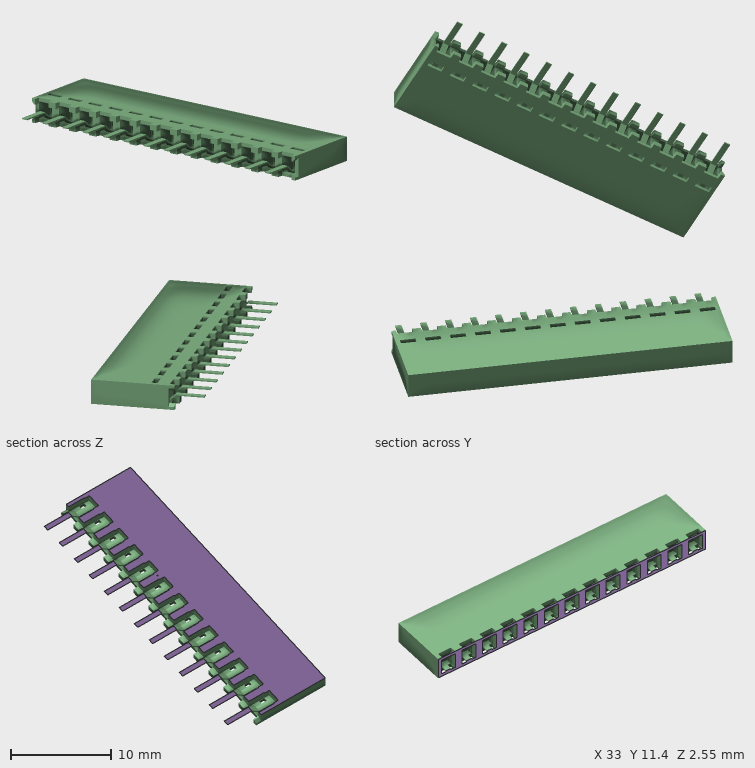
import cadquery as cq
import math

length = 33.02
height = 2.55
body_depth = 7.95
mid_height = height / 2

pin_count = 13
pitch = length / pin_count
pin_positions = [(i - (pin_count - 1) / 2) * pitch for i in range(pin_count)]

window_front = 1.3
window_size = 0.6
window_width = 1.6
window_back = window_front + window_size

pocket_width = 1.65
pocket_wall = 0.4
recess_width = 1.5
recess_wall = 0.5
recess_depth = 0.6
recess_back = window_back + recess_depth

tooth_length = 0.6
tooth_height = 0.6
notch_base_width = window_width
notch_tip_width = 1.7
end_bevel = 0.3

pin_width = 0.63
pin_thickness = 0.13
pin_reach = 3.45
pin_bend = -0.53
pin_rise = mid_height - pin_thickness / 2 - pocket_wall
pin_slope = math.radians(40)


def box(x, y_range, z_range, width):
    """Block centred on x that fills the given y and z ranges."""
    depth = y_range[1] - y_range[0]
    rise = z_range[1] - z_range[0]
    return cq.Workplane("XY").box(width, depth, rise, centered=(True, False, False)).translate(
        (x, y_range[0], z_range[0])
    )


def tooth_strip():
    """Lower lip across the full length, with the inner edge bevelled at both ends."""
    half = length / 2
    return (
        cq.Workplane("XZ")
        .moveTo(-half, 0)
        .lineTo(half, 0)
        .lineTo(half, tooth_height - end_bevel)
        .lineTo(half - end_bevel, tooth_height)
        .lineTo(-half + end_bevel, tooth_height)
        .lineTo(-half, tooth_height - end_bevel)
        .close()
        .extrude(tooth_length)
    )


def notch(x):
    """Gap between neighbouring teeth, wider at the tips than at the base."""
    half_base = notch_base_width / 2
    half_tip = notch_tip_width / 2
    return (
        cq.Workplane("XY")
        .polyline(
            [
                (x - half_base, 0),
                (x + half_base, 0),
                (x + half_tip, -tooth_length),
                (x - half_tip, -tooth_length),
            ]
        )
        .close()
        .extrude(height)
    )


def contact_cavity(x):
    """Stepped pocket together with the window that crosses it."""
    pocket = box(x, (0, window_back), (pocket_wall, height - pocket_wall), pocket_width)
    recess = box(x, (window_back, recess_back), (recess_wall, height - recess_wall), recess_width)
    window = box(x, (window_front, window_back), (0, height), window_width)
    return pocket.union(recess).union(window)


def pin(x):
    """Contact strip that starts at the back wall of the recess and lies on the pocket floor."""
    floor_end = pin_bend + pin_rise / math.tan(pin_slope)
    bend_shift = pin_thickness * math.tan(pin_slope / 2)
    outer_z = pocket_wall + pin_rise
    profile = [
        (recess_back, pocket_wall),
        (floor_end, pocket_wall),
        (pin_bend, outer_z),
        (-pin_reach, outer_z),
        (-pin_reach, outer_z + pin_thickness),
        (pin_bend + bend_shift, outer_z + pin_thickness),
        (floor_end + bend_shift, pocket_wall + pin_thickness),
        (recess_back, pocket_wall + pin_thickness),
    ]
    return cq.Workplane("YZ", origin=(x, 0, 0)).polyline(profile).close().extrude(pin_width / 2, both=True)


body = box(0, (0, body_depth), (0, height), length)
lower_teeth = tooth_strip()
upper_teeth = lower_teeth.mirror("XY", (0, 0, mid_height))
result = body.union(lower_teeth).union(upper_teeth)

for x in pin_positions:
    result = result.cut(notch(x)).cut(contact_cavity(x))

for x in pin_positions:
    result = result.union(pin(x))